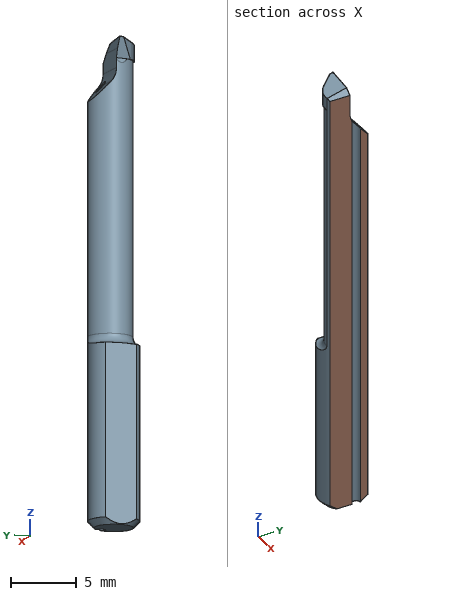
import cadquery as cq
import math

LENGTH = 38.0
SHANK_RADIUS = 2.0
FLAT_X = -1.55
END_CHAMFER = 0.5

NECK_AXIS_X = 0.88
NECK_RADIUS = math.sqrt(SHANK_RADIUS**2 - NECK_AXIS_X**2)
SHOULDER_Z = 14.1
SHOULDER_FILLET = 0.85

TIP_BASE_Z = 36.4
TIP_POINT_X = -1.45
SIDE_RELIEF = 10.0
SIDE_TAPER = 19.5
RUNOUT_TAPER = 12.0
BACK_STEP = 0.09
HEEL_TOP = (-1.35, -0.32)
HEEL_END = (-0.51, -1.28)
END_SLOPE_X = 6.5
END_SLOPE_Y = 7.0
TOP_CHAMFER_SUM = 38.42

FLUTE_Y = 0.12
RAKE_START_Z = 37.1
RAKE_ANGLE = 5.5
FLUTE_RADIUS = 1.6
FLUTE_RUNOUT_Z = 33.15
FLUTE_RUNOUT_Y = 1.8
FLUTE_ANGLE = 42.0

TIP_POINT_Y = FLUTE_Y - (LENGTH - RAKE_START_Z) * math.tan(math.radians(RAKE_ANGLE))

HOLE_DIAMETER = 0.7
HOLE_X = 1.09
HOLE_Y = 0.65

MARGIN = 1.0
CUT_REACH = 3 * SHANK_RADIUS


def make_shank():
    bar = cq.Workplane("XY").circle(SHANK_RADIUS).extrude(LENGTH)
    bar = bar.faces("<Z").chamfer(END_CHAMFER)
    waste = cq.Workplane("XY").box(
        CUT_REACH, CUT_REACH, LENGTH + 2 * MARGIN, centered=(False, True, False)
    )
    return bar.cut(waste.translate((FLAT_X - CUT_REACH, 0, -MARGIN)))


def make_neck_waste():
    """Material around the neck: a revolved ring, kept only on the -X side of the neck axis."""
    fillet_top_z = SHOULDER_Z + SHOULDER_FILLET
    mid = SHOULDER_FILLET * (1 - math.sqrt(0.5))
    ring = (
        cq.Workplane("XZ")
        .moveTo(NECK_RADIUS, LENGTH + MARGIN)
        .lineTo(NECK_RADIUS, fillet_top_z)
        .threePointArc(
            (NECK_RADIUS + mid, SHOULDER_Z + mid),
            (NECK_RADIUS + SHOULDER_FILLET, SHOULDER_Z),
        )
        .lineTo(CUT_REACH, SHOULDER_Z)
        .lineTo(CUT_REACH, LENGTH + MARGIN)
        .close()
        .revolve(360, (0, 0, 0), (0, 1, 0))
        .translate((NECK_AXIS_X, 0, 0))
    )
    keep_side = cq.Workplane("XY").box(
        2 * CUT_REACH, 2 * CUT_REACH, LENGTH + 2 * MARGIN, centered=(False, True, False)
    )
    return ring.cut(keep_side.translate((NECK_AXIS_X, 0, -MARGIN)))


def make_tip():
    """Head with a flat heel facet and a round back that stands slightly proud of the neck."""
    heel_slope = (HEEL_END[0] - HEEL_TOP[0]) / (HEEL_END[1] - HEEL_TOP[1])
    front_x = HEEL_TOP[0] + heel_slope * (FLUTE_Y - HEEL_TOP[1])
    back_end = (NECK_AXIS_X, -NECK_RADIUS)
    heel_angle = math.atan2(HEEL_END[1], HEEL_END[0] - NECK_AXIS_X)
    middle_angle = (heel_angle - math.pi / 2) / 2
    back_radius = NECK_RADIUS + BACK_STEP
    back_middle = (
        NECK_AXIS_X + back_radius * math.cos(middle_angle),
        back_radius * math.sin(middle_angle),
    )
    return (
        cq.Workplane("XY")
        .workplane(offset=TIP_BASE_Z)
        .moveTo(front_x, FLUTE_Y)
        .lineTo(*HEEL_END)
        .threePointArc(back_middle, back_end)
        .lineTo(NECK_AXIS_X, FLUTE_Y)
        .close()
        .extrude(LENGTH - TIP_BASE_Z)
    )


def make_side_waste():
    """Side clearance of the tip, running out through the neck just below it."""
    tip_height = LENGTH - TIP_BASE_Z
    foot_x = tip_height * math.tan(math.radians(SIDE_TAPER))
    runout_drop = MARGIN / math.tan(math.radians(RUNOUT_TAPER))
    lean_x = -MARGIN * math.tan(math.radians(SIDE_TAPER))
    outer_x = foot_x - MARGIN
    return (
        cq.Workplane("XZ")
        .polyline([
            (lean_x, MARGIN),
            (foot_x, -tip_height),
            (outer_x, -tip_height - runout_drop),
            (outer_x, MARGIN),
        ])
        .close()
        .extrude(CUT_REACH, both=True)
        .rotate((0, 0, 0), (0, 0, 1), SIDE_RELIEF)
        .translate((TIP_POINT_X, TIP_POINT_Y, LENGTH))
    )


def make_end_waste():
    """Sloping end face that is highest at the cutting point."""
    return (
        cq.Workplane("XY")
        .box(2 * CUT_REACH, 2 * CUT_REACH, CUT_REACH, centered=(True, True, False))
        .rotate((0, 0, 0), (1, 0, 0), END_SLOPE_Y)
        .rotate((0, 0, 0), (0, 1, 0), END_SLOPE_X)
        .translate((TIP_POINT_X, TIP_POINT_Y, LENGTH))
    )


def make_top_chamfer_waste():
    low_z = TOP_CHAMFER_SUM - CUT_REACH
    return (
        cq.Workplane("XZ")
        .polyline([(0, TOP_CHAMFER_SUM), (CUT_REACH, low_z), (CUT_REACH, TOP_CHAMFER_SUM)])
        .close()
        .extrude(CUT_REACH, both=True)
    )


def make_flute_waste():
    """Rake face dipping at the end, and a flat face that blends by an arc into a sloping run-out."""
    angle = math.radians(FLUTE_ANGLE)
    arc_y = FLUTE_Y + FLUTE_RADIUS * (1 - math.cos(angle))
    arc_z = FLUTE_RUNOUT_Z + (FLUTE_RUNOUT_Y - arc_y) / math.tan(angle)
    arc_top_z = arc_z + FLUTE_RADIUS * math.sin(angle)
    half = angle / 2
    arc_mid = (
        FLUTE_Y + FLUTE_RADIUS * (1 - math.cos(half)),
        arc_top_z - FLUTE_RADIUS * math.sin(half),
    )
    out_y = FLUTE_RUNOUT_Y + MARGIN
    out_z = FLUTE_RUNOUT_Z - MARGIN / math.tan(angle)
    top_z = LENGTH + MARGIN
    rake_top_y = FLUTE_Y - (top_z - RAKE_START_Z) * math.tan(math.radians(RAKE_ANGLE))
    return (
        cq.Workplane("YZ")
        .moveTo(rake_top_y, top_z)
        .lineTo(FLUTE_Y, RAKE_START_Z)
        .lineTo(FLUTE_Y, arc_top_z)
        .threePointArc(arc_mid, (arc_y, arc_z))
        .lineTo(out_y, out_z)
        .lineTo(out_y, top_z)
        .close()
        .extrude(CUT_REACH, both=True)
    )


def make_coolant_hole():
    return (
        cq.Workplane("XY")
        .center(HOLE_X, HOLE_Y)
        .circle(HOLE_DIAMETER / 2)
        .extrude(LENGTH)
    )


result = (
    make_shank()
    .cut(make_neck_waste())
    .union(make_tip())
    .cut(make_side_waste())
    .cut(make_end_waste())
    .cut(make_top_chamfer_waste())
    .cut(make_flute_waste())
    .cut(make_coolant_hole())
)